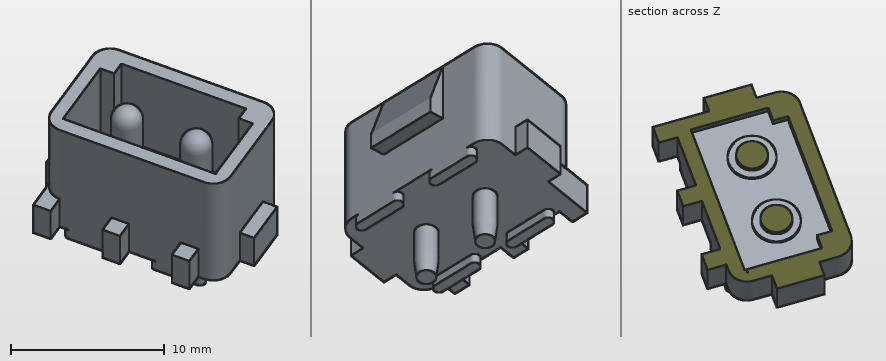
import cadquery as cq


BODY_LENGTH = 13.14
BODY_WIDTH = 8.41
BODY_HEIGHT = 8.8
CORNER_RADIUS = 1.28

CAVITY_LENGTH = 11.15
CAVITY_FRONT_Y = -3.17
CAVITY_SHOULDER_Y = 2.1
CAVITY_BACK_Y = 3.12
CAVITY_STEP_LENGTH = 9.11
FLOOR_HEIGHT = 1.98

PIN_PITCH = 5.07
PIN_DIAMETER = 2.1
PIN_TOP = 8.41
COLLAR_DIAMETER = 3.19
COLLAR_HEIGHT = 0.15
TAIL_DIAMETER = 1.62
TAIL_TIP_DIAMETER = 1.3
TAIL_TAPER_START = -2.55
TAIL_END = -4.04

OVERALL_LENGTH = 15.24
TAB_HEIGHT = 2.55
SIDE_TAB_WIDTH = 3.28
FRONT_TAB_WIDTH = 1.28
FRONT_TAB_REACH = 1.28
FRONT_TAB_COUNT = 3

FOOT_LENGTH = 3.85
FOOT_WIDTH = 0.78
FOOT_HEIGHT = 0.8
FOOT_SPACING = 6.34
FOOT_OFFSET_X = 0.06

LATCH_LENGTH = 5.1
LATCH_REACH = 1.23
LATCH_NOSE_TOP = 4.98
LATCH_NOSE_BOTTOM = 3.72
LATCH_ROOT_BOTTOM = 4.04

HALF_LENGTH = BODY_LENGTH / 2
HALF_WIDTH = BODY_WIDTH / 2


def block(x_min, x_max, y_min, y_max, z_min, z_max):
    size = (x_max - x_min, y_max - y_min, z_max - z_min)
    return cq.Workplane("XY").box(*size, centered=False).translate((x_min, y_min, z_min))


def housing():
    return (
        cq.Workplane("XY")
        .rect(BODY_LENGTH, BODY_WIDTH)
        .extrude(BODY_HEIGHT)
        .edges("|Z")
        .fillet(CORNER_RADIUS)
    )


def socket():
    half_cavity = CAVITY_LENGTH / 2
    half_step = CAVITY_STEP_LENGTH / 2
    cavity = block(-half_cavity, half_cavity, CAVITY_FRONT_Y, CAVITY_SHOULDER_Y, FLOOR_HEIGHT, BODY_HEIGHT)
    step = block(-half_step, half_step, CAVITY_FRONT_Y, CAVITY_BACK_Y, FLOOR_HEIGHT, BODY_HEIGHT)
    return cavity.union(step)


def side_tabs():
    half_overall = OVERALL_LENGTH / 2
    half_tab = SIDE_TAB_WIDTH / 2
    return block(-half_overall, half_overall, -half_tab, half_tab, 0, TAB_HEIGHT)


def front_tab(index):
    x_min = -HALF_LENGTH + index * PIN_PITCH
    y_inner = -HALF_WIDTH + CORNER_RADIUS
    return block(x_min, x_min + FRONT_TAB_WIDTH, -HALF_WIDTH - FRONT_TAB_REACH, y_inner, 0, TAB_HEIGHT)


def latch():
    profile = [
        (HALF_WIDTH, BODY_HEIGHT),
        (HALF_WIDTH + LATCH_REACH, LATCH_NOSE_TOP),
        (HALF_WIDTH + LATCH_REACH, LATCH_NOSE_BOTTOM),
        (HALF_WIDTH, LATCH_ROOT_BOTTOM),
    ]
    return cq.Workplane("YZ").polyline(profile).close().extrude(LATCH_LENGTH / 2, both=True)


def feet():
    foot_x = FOOT_SPACING / 2
    foot_y = HALF_WIDTH - FOOT_WIDTH / 2
    centres = [(FOOT_OFFSET_X + sx * foot_x, sy * foot_y) for sx in (-1, 1) for sy in (-1, 1)]
    return cq.Workplane("XY").pushPoints(centres).slot2D(FOOT_LENGTH, FOOT_WIDTH).extrude(-FOOT_HEIGHT)


def pin(x):
    """Revolved contact: collar, domed post above the floor and tapered solder tail below."""
    pin_radius = PIN_DIAMETER / 2
    dome_base = PIN_TOP - pin_radius
    dome_mid = pin_radius * 0.5**0.5
    collar_top = FLOOR_HEIGHT + COLLAR_HEIGHT
    half_profile = (
        cq.Workplane("XZ")
        .moveTo(0, TAIL_END)
        .lineTo(TAIL_TIP_DIAMETER / 2, TAIL_END)
        .lineTo(TAIL_DIAMETER / 2, TAIL_TAPER_START)
        .lineTo(TAIL_DIAMETER / 2, FLOOR_HEIGHT)
        .lineTo(COLLAR_DIAMETER / 2, FLOOR_HEIGHT)
        .lineTo(COLLAR_DIAMETER / 2, collar_top)
        .lineTo(pin_radius, collar_top)
        .lineTo(pin_radius, dome_base)
        .threePointArc((dome_mid, dome_base + dome_mid), (0, PIN_TOP))
        .close()
    )
    return half_profile.revolve(360, (0, 0, 0), (0, 1, 0)).translate((x, 0, 0))


result = housing().union(side_tabs()).union(latch()).union(feet())
for tab_index in range(FRONT_TAB_COUNT):
    result = result.union(front_tab(tab_index))
result = result.cut(socket())
for side in (-1, 1):
    result = result.union(pin(side * PIN_PITCH / 2))